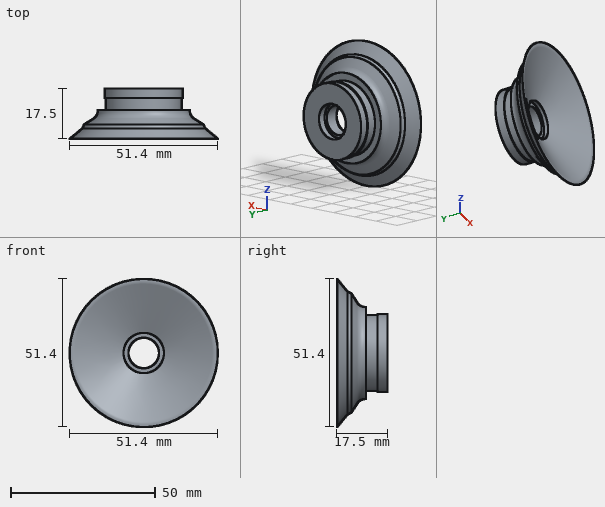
import cadquery as cq

length = 17.5
mouth_diameter = 51.4
mouth_radius = mouth_diameter / 2

collar_radius = 13.5
collar_width = 3.45
neck_radius = 13.2
neck_length = 4.0
collar_y = length - collar_width
shoulder_y = collar_y - neck_length

shoulder_radius = 16.0
shoulder_width = 0.35
shoulder_edge_y = shoulder_y - shoulder_width
cove_end_radius = 17.3
cove_end_y = 7.1
cone_end_radius = 20.65
cone_end_y = 5.0
band_end_radius = 21.4
band_end_y = 3.55

rim_width = 0.85
rim_inner_radius = mouth_radius - rim_width
lip_width = 0.85
lip_depth = 0.18
bowl_radius = rim_inner_radius - lip_width

seat_radius = 7.0
seat_mouth_y = 7.9
seat_floor_y = 9.5
bore_radius = 5.25
rear_bore_radius = 6.25
rear_bore_depth = 2.9
rear_bore_y = length - rear_bore_depth


def draw_outside(profile):
    """Outside outline in (radius, Y), from the rear face forward to the mouth."""
    return (
        profile
        .lineTo(collar_radius, length)
        .lineTo(collar_radius, collar_y)
        .lineTo(neck_radius, collar_y)
        .lineTo(neck_radius, shoulder_y)
        .lineTo(shoulder_radius, shoulder_y)
        .lineTo(shoulder_radius, shoulder_edge_y)
        .tangentArcPoint((cove_end_radius, cove_end_y), relative=False)
        .lineTo(cone_end_radius, cone_end_y)
        .lineTo(band_end_radius, band_end_y)
        .lineTo(mouth_radius, 0)
    )


def draw_inside(profile):
    """Inside outline in (radius, Y), from the mouth back to the rear bore."""
    return (
        profile
        .lineTo(rim_inner_radius, 0)
        .tangentArcPoint((bowl_radius, lip_depth), relative=False)
        .lineTo(seat_radius, seat_mouth_y)
        .lineTo(seat_radius, seat_floor_y)
        .lineTo(bore_radius, seat_floor_y)
        .lineTo(bore_radius, rear_bore_y)
        .lineTo(rear_bore_radius, rear_bore_y)
    )


half_section = cq.Workplane("XY").moveTo(rear_bore_radius, length)
half_section = draw_outside(half_section)
half_section = draw_inside(half_section)

result = half_section.close().revolve(360, (0, 0, 0), (0, 1, 0))